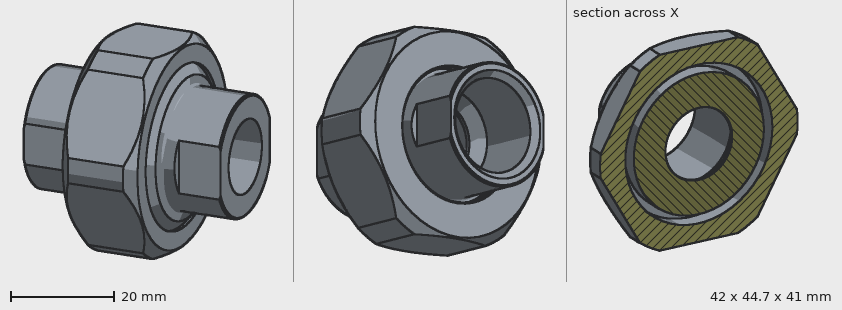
import cadquery as cq
import math

LENGTH = 42.0

PIPE_EDGE_CHAMFER = 0.3
BORE_RADIUS = 14.95 / 2

NUT_START = 12.5
NUT_END = 28.55
NUT_ACROSS_FLATS = 41.0
NUT_ACROSS_CORNERS = 44.7
NUT_CHAMFER = 2.1
LIP_THICKNESS = 2.25
LIP_RADIUS = 26.5 / 2
LIP_CHAMFER = 0.3
THREAD_RADIUS = 33.1 / 2

TAIL_PIPE_RADIUS = 24.5 / 2
COLLAR_START = NUT_START + LIP_THICKNESS
COLLAR_END = 18.75
COLLAR_RADIUS = 29.5 / 2
COLLAR_FILLET = 0.75
SOCKET_RADIUS = 18.65 / 2
SOCKET_MOUTH_RADIUS = 10.7
SOCKET_DEPTH = COLLAR_START
SOCKET_TAPER_ANGLE = 30.0
TAIL_ACROSS_FLATS = 23.0
TAIL_FLAT_END = 10.5
TAIL_RUNOUT_ANGLE = 45.0

BODY_PIPE_RADIUS = 24.57 / 2
BODY_CONE_RADIUS = 15.65
SHOULDER_RADIUS = 14.4
SHOULDER_START = 29.62
SHOULDER_LEAN = 13.0
SHOULDER_FILLET = 0.55
BODY_ACROSS_FLATS = 22.05
BODY_FLAT_START = 33.05
BODY_RUNOUT_ANGLE = 73.0


def revolve_about_x(profile):
    return profile.close().revolve(360, (0, 0, 0), (1, 0, 0))


def flat_cutters(across_flats, end_x, floor_x, runout_angle):
    """Two wedges that cut wrench flats on the -Y and +Y sides, from end_x to a sloped runout at floor_x."""
    flat_y = across_flats / 2
    outer_y = COLLAR_RADIUS
    inward = math.copysign(1, floor_x - end_x)
    runout_x = floor_x + inward * (outer_y - flat_y) / math.tan(math.radians(runout_angle))
    outline = [(end_x, flat_y), (floor_x, flat_y), (runout_x, outer_y), (end_x, outer_y)]
    cutter = cq.Workplane("XY").polyline(outline).close().extrude(COLLAR_RADIUS, both=True)
    return cutter.union(cutter.mirror("XZ"))


def make_nut():
    length = NUT_END - NUT_START
    outer_radius = NUT_ACROSS_CORNERS / 2
    hexagon_diameter = NUT_ACROSS_FLATS / math.cos(math.radians(30))
    hexagon = cq.Workplane("YZ", origin=(NUT_START, 0, 0)).polygon(6, hexagon_diameter).extrude(length)
    rounding = (
        cq.Workplane("YZ", origin=(NUT_START, 0, 0))
        .circle(outer_radius)
        .extrude(length)
        .edges()
        .chamfer(NUT_CHAMFER)
    )
    opening = revolve_about_x(
        cq.Workplane("XY")
        .moveTo(NUT_START, 0)
        .lineTo(NUT_START, LIP_RADIUS + LIP_CHAMFER)
        .lineTo(NUT_START + LIP_CHAMFER, LIP_RADIUS)
        .lineTo(COLLAR_START, LIP_RADIUS)
        .lineTo(COLLAR_START, THREAD_RADIUS)
        .lineTo(NUT_END, THREAD_RADIUS)
        .lineTo(NUT_END, 0)
    )
    return hexagon.intersect(rounding).cut(opening)


def make_tailpiece():
    mouth_depth = SOCKET_MOUTH_RADIUS - SOCKET_RADIUS
    taper_length = (SOCKET_RADIUS - BORE_RADIUS) / math.tan(math.radians(SOCKET_TAPER_ANGLE))
    tailpiece = revolve_about_x(
        cq.Workplane("XY")
        .moveTo(0, SOCKET_MOUTH_RADIUS)
        .lineTo(0, TAIL_PIPE_RADIUS - PIPE_EDGE_CHAMFER)
        .lineTo(PIPE_EDGE_CHAMFER, TAIL_PIPE_RADIUS)
        .lineTo(COLLAR_START - COLLAR_FILLET, TAIL_PIPE_RADIUS)
        .radiusArc((COLLAR_START, TAIL_PIPE_RADIUS + COLLAR_FILLET), -COLLAR_FILLET)
        .lineTo(COLLAR_START, COLLAR_RADIUS)
        .lineTo(COLLAR_END, COLLAR_RADIUS)
        .lineTo(COLLAR_END, BORE_RADIUS)
        .lineTo(SOCKET_DEPTH + taper_length, BORE_RADIUS)
        .lineTo(SOCKET_DEPTH, SOCKET_RADIUS)
        .lineTo(mouth_depth, SOCKET_RADIUS)
    )
    return tailpiece.cut(flat_cutters(TAIL_ACROSS_FLATS, 0, TAIL_FLAT_END, TAIL_RUNOUT_ANGLE))


def make_body():
    cone_slope = (SHOULDER_START - NUT_END) / (BODY_CONE_RADIUS - SHOULDER_RADIUS)
    cone_start = NUT_END - cone_slope * (THREAD_RADIUS - BODY_CONE_RADIUS)

    lean = math.radians(SHOULDER_LEAN)
    fillet_radius = BODY_PIPE_RADIUS + SHOULDER_FILLET * (1 - math.sin(lean))
    fillet_start = SHOULDER_START + (SHOULDER_RADIUS - fillet_radius) * math.tan(lean)
    fillet_end = fillet_start + SHOULDER_FILLET * math.cos(lean)

    body = revolve_about_x(
        cq.Workplane("XY")
        .moveTo(COLLAR_END, BORE_RADIUS)
        .lineTo(COLLAR_END, THREAD_RADIUS)
        .lineTo(cone_start, THREAD_RADIUS)
        .lineTo(SHOULDER_START, SHOULDER_RADIUS)
        .lineTo(fillet_start, fillet_radius)
        .radiusArc((fillet_end, BODY_PIPE_RADIUS), -SHOULDER_FILLET)
        .lineTo(LENGTH - PIPE_EDGE_CHAMFER, BODY_PIPE_RADIUS)
        .lineTo(LENGTH, BODY_PIPE_RADIUS - PIPE_EDGE_CHAMFER)
        .lineTo(LENGTH, BORE_RADIUS)
    )
    return body.cut(flat_cutters(BODY_ACROSS_FLATS, LENGTH, BODY_FLAT_START, BODY_RUNOUT_ANGLE))


nut = make_nut()
tailpiece = make_tailpiece()
body = make_body()

result = cq.Compound.makeCompound([nut.val(), tailpiece.val(), body.val()])